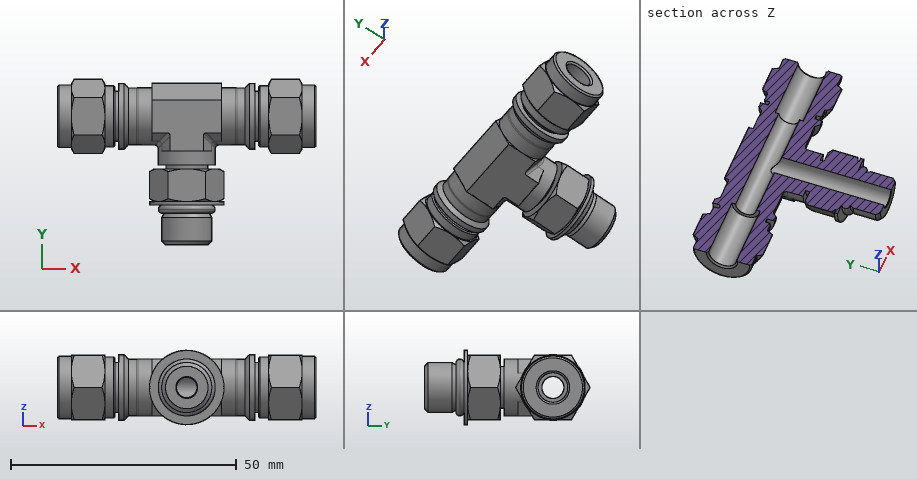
import cadquery as cq
import math

RUN_HALF_LENGTH = 28.64
BRANCH_LENGTH = 28.45

BODY_FLATS = 12.7
BODY_HALF_LENGTH = 7.7
VALLEY_RADIUS = 0.8
MITER_TOLERANCE = 0.1
BRANCH_SHOULDER = 10.8
HALF_SECTOR = 30

HEX_FLATS = 14.29
HEX_CHAMFER_ANGLE = 30

STEM_STEP_START = 10.8
STEM_STEP_END = 11.1
COLLAR_CONE_START = 12.9
COLLAR_START = 13.85
COLLAR_END = 15.1
NUT_START = 15.9
NUT_HEX_START = 18.1
NUT_HEX_END = 25.55

STEM_DIAMETER = 12.6
COLLAR_DIAMETER = 14.6
RUN_THREAD_DIAMETER = 11.11
NUT_SKIRT_DIAMETER = 13.6
NUT_NOSE_DIAMETER = 13.9
NUT_SKIRT_CHAMFER = 0.3
NUT_NOSE_CHAMFER = 0.4

LOCKNUT_START = 11.6
LOCKNUT_END = 18.85
WASHER_END = 19.65
ORING_THICKNESS = 1.83
THREAD_RUNOUT = 0.85

BRANCH_NECK_DIAMETER = 9.3
BRANCH_UNDERCUT_DIAMETER = 10.1
BRANCH_END_DIAMETER = 9.4
BRANCH_THREAD_DIAMETER = 11.11
WASHER_DIAMETER = 16.5
ORING_DIAMETER = 12.6

RUN_BORE_DIAMETER = 4.83
BRANCH_BORE_DIAMETER = 4.5
BRANCH_MOUTH_DIAMETER = 4.83
TUBE_SOCKET_DIAMETER = 6.55
TUBE_SOCKET_DEPTH = 15.0
TUBE_MOUTH_DIAMETER = 7.4


def hex_corners(flats):
    """Diameter across the corners of a hexagon with the given width across flats."""
    return flats / math.cos(math.radians(HALF_SECTOR))


def revolved_z(profile):
    """Solid of revolution about Z from (diameter, height) pairs in ascending height."""
    outline = [(0, profile[0][1])]
    outline += [(diameter / 2, height) for diameter, height in profile]
    outline += [(0, profile[-1][1])]
    return cq.Workplane("XZ").polyline(outline).close().revolve(360, (0, 0, 0), (0, 1, 0))


def chamfered_hex(start, end):
    """Hexagon along Z with corners on the X axis and both ends turned to a cone."""
    corners = hex_corners(HEX_FLATS)
    drop = (corners - HEX_FLATS) / 2 * math.tan(math.radians(HEX_CHAMFER_ANGLE))
    prism = cq.Workplane("XY").workplane(offset=start).polygon(6, corners).extrude(end - start)
    envelope = revolved_z([
        (HEX_FLATS, start),
        (corners, start + drop),
        (corners, end - drop),
        (HEX_FLATS, end),
    ])
    return prism.intersect(envelope)


def along_branch(shape):
    """Turn a shape built along +Z to point along -Y; its X axis stays X."""
    return shape.rotate((0, 0, 0), (1, 0, 0), 90)


def along_run(shape):
    """Turn a shape built along +Z to point along +X, its X axis onto Y."""
    return shape.rotate((0, 0, 0), (0, 0, 1), 90).rotate((0, 0, 0), (0, 1, 0), 90)


def body_outline(plane, rounded_both_sides):
    """Hexagonal section with flats on +-Z whose left corner, or both, follow the inscribed circle."""
    radius = BODY_FLATS / 2
    flat_end = radius * math.tan(math.radians(HALF_SECTOR))
    tangent_x = radius * math.cos(math.radians(HALF_SECTOR))
    tangent_z = radius / 2
    outline = (
        cq.Workplane(plane)
        .moveTo(flat_end, radius)
        .lineTo(-flat_end, radius)
        .lineTo(-tangent_x, tangent_z)
        .threePointArc((-radius, 0), (-tangent_x, -tangent_z))
        .lineTo(-flat_end, -radius)
        .lineTo(flat_end, -radius)
    )
    if rounded_both_sides:
        outline = outline.lineTo(tangent_x, -tangent_z)
        outline = outline.threePointArc((radius, 0), (tangent_x, tangent_z))
    else:
        outline = outline.lineTo(2 * flat_end, 0)
    return outline.close()


def is_on_miter(edge):
    """True for the creases between run and branch, which lie midway between the X and Y directions."""
    centre = edge.Center()
    on_diagonal = abs(abs(centre.x) - abs(centre.y)) < MITER_TOLERANCE
    return on_diagonal and centre.y < -BODY_FLATS / 4


def tee_body():
    """Round arms in a hexagonal forging, blended into each other through small fillets."""
    radius = BODY_FLATS / 2
    run_stem = cq.Workplane("YZ").circle(radius).extrude(STEM_STEP_START, both=True)
    run = body_outline("YZ", False).extrude(BODY_HALF_LENGTH, both=True).union(run_stem)
    branch_stem = cq.Workplane("XZ").circle(radius).extrude(BRANCH_SHOULDER)
    branch = body_outline("XZ", True).extrude(BODY_HALF_LENGTH).union(branch_stem)
    body = run.union(branch)
    creases = [edge for edge in body.edges().vals() if is_on_miter(edge)]
    return body.newObject(creases).fillet(VALLEY_RADIUS)


def run_arm():
    """Stepped stem, collar, exposed thread and compression nut, built along +Z."""
    turned = revolved_z([
        (BODY_FLATS, STEM_STEP_START),
        (STEM_DIAMETER, STEM_STEP_END),
        (STEM_DIAMETER, COLLAR_CONE_START),
        (COLLAR_DIAMETER, COLLAR_START),
        (COLLAR_DIAMETER, COLLAR_END),
        (RUN_THREAD_DIAMETER, COLLAR_END),
        (RUN_THREAD_DIAMETER, NUT_START),
        (NUT_SKIRT_DIAMETER - 2 * NUT_SKIRT_CHAMFER, NUT_START),
        (NUT_SKIRT_DIAMETER, NUT_START + NUT_SKIRT_CHAMFER),
        (NUT_SKIRT_DIAMETER, NUT_HEX_START),
        (NUT_NOSE_DIAMETER, NUT_HEX_START),
        (NUT_NOSE_DIAMETER, RUN_HALF_LENGTH - NUT_NOSE_CHAMFER),
        (NUT_NOSE_DIAMETER - 2 * NUT_NOSE_CHAMFER, RUN_HALF_LENGTH),
    ])
    return along_run(turned.union(chamfered_hex(NUT_HEX_START, NUT_HEX_END)))


def branch_arm():
    """Neck, locknut, washer, O-ring and threaded end."""
    undercut_end = WASHER_END + ORING_THICKNESS
    end_chamfer = (BRANCH_THREAD_DIAMETER - BRANCH_END_DIAMETER) / 2
    turned = revolved_z([
        (BRANCH_NECK_DIAMETER, BRANCH_SHOULDER),
        (BRANCH_NECK_DIAMETER, LOCKNUT_END),
        (WASHER_DIAMETER, LOCKNUT_END),
        (WASHER_DIAMETER, WASHER_END),
        (BRANCH_UNDERCUT_DIAMETER, WASHER_END),
        (BRANCH_UNDERCUT_DIAMETER, undercut_end),
        (BRANCH_THREAD_DIAMETER, undercut_end + THREAD_RUNOUT),
        (BRANCH_THREAD_DIAMETER, BRANCH_LENGTH - end_chamfer),
        (BRANCH_END_DIAMETER, BRANCH_LENGTH),
    ])
    oring = cq.Solid.makeTorus(
        (ORING_DIAMETER - ORING_THICKNESS) / 2,
        ORING_THICKNESS / 2,
        cq.Vector(0, 0, WASHER_END + ORING_THICKNESS / 2),
    )
    return along_branch(turned.union(chamfered_hex(LOCKNUT_START, LOCKNUT_END)).union(cq.Workplane(oring)))


def run_bore():
    """One half of the run passage with its tube socket and chamfered mouth."""
    mouth_depth = (TUBE_MOUTH_DIAMETER - TUBE_SOCKET_DIAMETER) / 2
    socket_floor = RUN_HALF_LENGTH - TUBE_SOCKET_DEPTH
    return along_run(revolved_z([
        (RUN_BORE_DIAMETER, 0),
        (RUN_BORE_DIAMETER, socket_floor),
        (TUBE_SOCKET_DIAMETER, socket_floor),
        (TUBE_SOCKET_DIAMETER, RUN_HALF_LENGTH - mouth_depth),
        (TUBE_MOUTH_DIAMETER, RUN_HALF_LENGTH),
    ]))


def branch_bore():
    """Branch passage from the run axis to its chamfered mouth."""
    mouth_depth = (BRANCH_MOUTH_DIAMETER - BRANCH_BORE_DIAMETER) / 2
    return along_branch(revolved_z([
        (BRANCH_BORE_DIAMETER, 0),
        (BRANCH_BORE_DIAMETER, BRANCH_LENGTH - mouth_depth),
        (BRANCH_MOUTH_DIAMETER, BRANCH_LENGTH),
    ]))


right_arm = run_arm()
right_bore = run_bore()
passages = right_bore.union(right_bore.mirror("YZ")).union(branch_bore())

result = tee_body().union(branch_arm())
result = result.union(right_arm).union(right_arm.mirror("YZ"))
result = result.cut(passages)